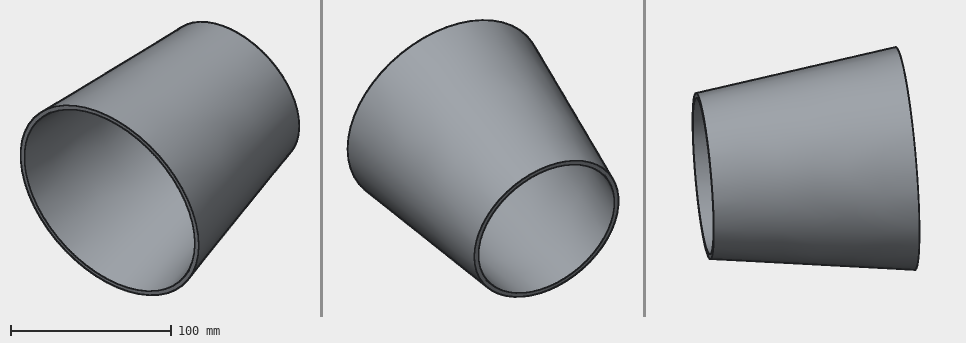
import cadquery as cq

large_diameter = 139.7
small_diameter = 104.1
wall = 3.1
length = 127.0


def cone(start_diameter, end_diameter):
    """Solid cone frustum from Y = 0 to Y = length."""
    start_radius = start_diameter / 2
    end_radius = end_diameter / 2
    profile = [
        (0, 0),
        (start_radius, 0),
        (end_radius, length),
        (0, length),
    ]
    return cq.Workplane("XY").polyline(profile).close().revolve(360, (0, 0), (0, 1))


outer_cone = cone(large_diameter, small_diameter)
bore = cone(large_diameter - 2 * wall, small_diameter - 2 * wall)

result = outer_cone.cut(bore)